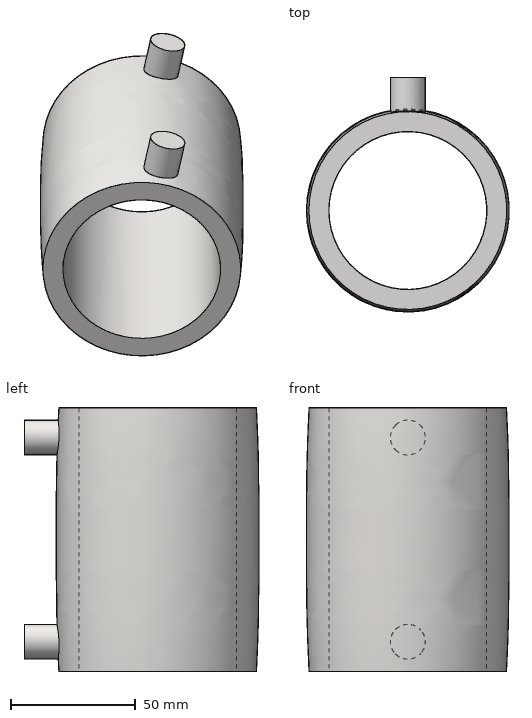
import cadquery as cq
import math


sleeve_length = 106.0
band_diameter = 81.5
band_length = 25.0
end_diameter = 79.4
bore_diameter = 63.3

pin_diameter = 14.0
pin_tip_y = 53.5
pin_end_distance = 12.0

half_length = sleeve_length / 2
half_band = band_length / 2
band_radius = band_diameter / 2
end_radius = end_diameter / 2
bore_radius = bore_diameter / 2
wall_middle_radius = (bore_radius + end_radius) / 2


def bulge_midpoint():
    """Radius and height of the point halfway along an upper arc that is tangent to the band."""
    rise = half_length - half_band
    taper = band_radius - end_radius
    arc_radius = (rise**2 + taper**2) / (2 * taper)
    half_angle = math.asin(rise / arc_radius) / 2
    radius = band_radius - arc_radius * (1 - math.cos(half_angle))
    height = half_band + arc_radius * math.sin(half_angle)
    return radius, height


def make_sleeve():
    """Revolved tube: straight band, then arcs tangent to it that narrow towards each end."""
    middle_radius, middle_height = bulge_midpoint()
    return (
        cq.Workplane("XZ")
        .moveTo(-bore_radius, -half_length)
        .lineTo(-end_radius, -half_length)
        .threePointArc((-middle_radius, -middle_height), (-band_radius, -half_band))
        .lineTo(-band_radius, half_band)
        .threePointArc((-middle_radius, middle_height), (-end_radius, half_length))
        .lineTo(-bore_radius, half_length)
        .close()
        .revolve(360, (0, 0, 0), (0, 1, 0))
    )


def make_pin(axis_z):
    """Round pin from inside the sleeve wall out to its tip."""
    return (
        cq.Workplane("XZ", origin=(0, wall_middle_radius, axis_z))
        .circle(pin_diameter / 2)
        .extrude(wall_middle_radius - pin_tip_y)
    )


result = make_sleeve()
pin_height = half_length - pin_end_distance
for axis_z in (-pin_height, pin_height):
    result = result.union(make_pin(axis_z))